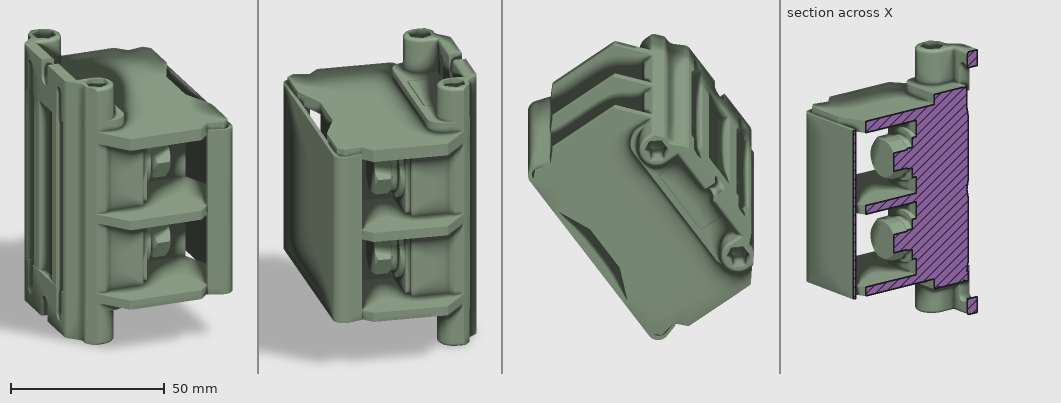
import cadquery as cq
import math


rail_length = 90.0
rail_face_half = 17.3
rail_flank_start = 18.3
rail_flank_rise = 0.4
rail_shelf_y = 4.2
rail_shelf_inner = 22.0
rail_shelf_outer = 24.9
rail_flank_bend = 2.7
rail_edge_blend = 0.9
rail_back_y = 4.4
rail_end_round = 1.1

tower_x = 22.9
tower_y = 9.1
tower_radius = 5.5
tower_outer_x = tower_x + tower_radius
hex_flats = 7.0
hex_depth = 9.0
step_diameter = 5.2
step_depth = 12.6
bore_diameter = 4.2

notch_width = 5.3
notch_depth = 7.8
slot_x = 12.4
slot_width = 4.3
slot_length = 81.9

plate_half_width = 38.0
plate_side_bottom = 14.85
plate_side_top = 39.8
plate_neck_half = 34.3
plate_neck_y = 43.2
plate_ear_half = 35.4
plate_ear_y = 48.7
plate_ear_bevel = 2.2
plate_edge_round = 0.9
plate_top_y = 50.85
dip_half_top = 19.4
dip_half_bottom = 8.3
dip_y = 46.1
plate_thickness = 3.15
top_plate_thickness = 4.05
pitch = 27.9
cells = 2
block_height = cells * pitch + top_plate_thickness
block_bottom = -block_height / 2
block_top = block_height / 2
cell_height = pitch - plate_thickness

pad_thickness = 3.4
pad_top_y = 18.2
pad_round = 5.6
label_width = 23.9
label_height = 11.0
label_y = 10.8
label_depth = 0.4
label_border = 0.4
label_round = 1.2

body_foot_half = 28.1
body_foot_y = 10.0
body_half = 26.7
body_step_y = 12.0
body_edge_round = 1.0
body_top_y = 24.2
wall_top_y = dip_y
gap_size = 1.0
gap_height = 0.45

bar_half = 24.8
bar_edge_round = 1.2
bar_top_y = 25.8
bolt_x = 15.8
bolt_flats = 12.7
washer_diameter = 17.6
washer_top_y = 27.45
spring_diameter = 13.1
spring_top_y = 29.6
spring_gap = 0.4
spring_gap_length = 8.1
head_top_y = 35.3
head_bevel_drop = 0.8

cover_top_y = 52.2
cover_thickness = 1.35
cover_leg_thickness = 0.9
cover_inner_round = 2.6
cover_corner_half = 38.2
cover_lean = 0.32
cover_round = 3.6
cover_tip_y = 43.0
cover_top_z = 27.7

window_half = 15.8
window_bevel = 0.4
window_lip_y = 2.25
window_inner_half = 17.1
window_end_relief = 2.25
window_depth = 3.9
groove_depth = 0.5
groove_rise = 2.8
window_deep_y = window_depth + groove_depth
insert_half = 10.2
insert_bevel = 0.6
insert_face_y = 0.2
insert_web_half = 6.75
channel_half_top = 5.4
channel_half_bottom = 4.3
channel_y = 3.6
channel_round = 0.9

SIDES = (-1, 1)
tolerance = 0.1
hexagon_sides = 6
cell_floors = [block_bottom + plate_thickness + i * pitch for i in range(cells)]
cell_centres = [floor + cell_height / 2 for floor in cell_floors]


def mirrored(half):
    """Close an outline given by its +X half, listed from the bottom up."""
    return half + [(-x, y) for x, y in reversed(half)]


def prism(outline, z_low, z_high):
    """Extrude an XY outline between two heights."""
    return cq.Workplane("XY", origin=(0, 0, z_low)).polyline(outline).close().extrude(z_high - z_low)


def block(x_low, x_high, y_low, y_high, z_low, z_high):
    size = (x_high - x_low, y_high - y_low, z_high - z_low)
    return cq.Workplane("XY", origin=(x_low, y_low, z_low)).box(*size, centered=False)


def disc(x, y_low, y_high, z, diameter):
    """Cylinder along +Y."""
    plane = cq.Workplane("XZ", origin=(x, y_low, z))
    return plane.circle(diameter / 2).extrude(y_low - y_high)


def hexagon_corners(flats):
    """Corner-to-corner size of a hexagon given its size across flats."""
    return flats / math.cos(math.pi / hexagon_sides)


def round_side_edges(solid, x, y, radius):
    """Fillet the upright edges at (+x, y) and (-x, y)."""
    for side in SIDES:
        corner = cq.selectors.BoxSelector(
            (side * x - tolerance, y - tolerance, -rail_length),
            (side * x + tolerance, y + tolerance, rail_length))
        solid = solid.edges("|Z").edges(corner).fillet(radius)
    return solid


def outer_slope_y(x):
    """Y of the sloped outer flank that the rail and the plates share."""
    slope = (plate_side_bottom - rail_shelf_y) / (plate_half_width - rail_shelf_outer)
    return rail_shelf_y + slope * (x - rail_shelf_outer)


rail_face_points = [
    (rail_face_half, 0),
    (rail_flank_start, rail_flank_rise),
    (rail_shelf_inner, rail_shelf_y),
    (rail_shelf_outer, rail_shelf_y),
]


def make_rail():
    """Rail section with both towers, rounded along its back end edges."""
    half = rail_face_points + [
        (tower_outer_x, outer_slope_y(tower_outer_x)),
        (tower_outer_x, tower_y),
        (tower_x - tower_radius, tower_y),
        (tower_x - tower_radius, rail_back_y),
    ]
    half_length = rail_length / 2
    rail = prism(mirrored(half), -half_length, half_length)
    for side in SIDES:
        centre_x = side * tower_x
        tower = cq.Workplane("XY", origin=(centre_x, tower_y, -half_length))
        tower = tower.circle(tower_radius).extrude(rail_length)
        rear = block(centre_x - tower_radius, centre_x + tower_radius, tower_y, tower_y + tower_radius,
                     -half_length, half_length)
        rail = rail.union(tower.intersect(rear))

    rail = round_side_edges(rail, rail_shelf_inner, rail_shelf_y, rail_flank_bend)
    rail = round_side_edges(rail, rail_shelf_outer, rail_shelf_y, rail_edge_blend)

    def is_back_edge(edge):
        centre = edge.Center()
        on_flank = rail_shelf_outer < abs(centre.x) < tower_outer_x - tolerance and centre.y < tower_y
        return centre.y > rail_back_y - tolerance and not on_flank

    for end in ("<Z", ">Z"):
        back_edges = [e for e in rail.faces(end).edges().vals() if is_back_edge(e)]
        rail = rail.newObject(back_edges).fillet(rail_end_round)
    cell_space = block(-plate_half_width, plate_half_width, rail_back_y, pad_top_y, block_bottom, block_top)
    return rail.cut(cell_space)


def make_plate(z_low, z_high):
    half = rail_face_points + [
        (plate_half_width, plate_side_bottom),
        (plate_half_width, plate_side_top),
        (plate_neck_half, plate_neck_y),
        (plate_ear_half, plate_ear_y),
        (plate_ear_half - plate_ear_bevel, plate_top_y),
        (dip_half_top, plate_top_y),
        (dip_half_bottom, dip_y),
    ]
    plate = prism(mirrored(half), z_low, z_high)
    plate = round_side_edges(plate, plate_half_width, plate_side_bottom, plate_edge_round)
    return plate.cut(block(-plate_half_width, plate_half_width, 0, rail_shelf_y, z_low, z_high))


def make_pad(side):
    """End pad with a shallow label recess; side is +1 for the upper pad."""
    z_inner = side * block_height / 2
    z_outer = z_inner + side * pad_thickness
    half = [
        (rail_shelf_outer, rail_shelf_y),
        (tower_outer_x, outer_slope_y(tower_outer_x)),
        (tower_outer_x, pad_top_y),
    ]
    pad = prism(mirrored(half), min(z_inner, z_outer), max(z_inner, z_outer))
    pad = pad.edges("|Z").edges(">Y").fillet(pad_round)
    label = cq.Workplane("XY", origin=(0, label_y, z_outer)).rect(label_width, label_height)
    label = label.extrude(-side * label_depth).edges("|Z").fillet(label_round)
    inner = cq.Workplane("XY", origin=(0, label_y, z_outer))
    inner = inner.rect(label_width - 2 * label_border, label_height - 2 * label_border)
    inner = inner.extrude(-side * label_depth).edges("|Z").fillet(label_round - label_border)
    return pad.cut(label.cut(inner))


def make_body():
    """Stepped base under the cells and the central wall between the two terminal sides."""
    half = [
        (rail_shelf_outer, rail_shelf_y),
        (body_foot_half, outer_slope_y(body_foot_half)),
        (body_foot_half, body_foot_y),
        (body_half, body_step_y),
        (body_half, body_top_y),
    ]
    body = prism(mirrored(half), block_bottom, block_top).edges("|Z").edges(">Y").fillet(body_edge_round)
    wall = block(-dip_half_bottom, dip_half_bottom, body_top_y, wall_top_y, block_bottom, block_top)
    return body.union(wall)


def make_bolt(x, z):
    """Flat washer, spring washer lifted at its outer side, and bevelled hexagon head."""
    washer = disc(x, bar_top_y, washer_top_y, z, washer_diameter)
    spring = disc(x, washer_top_y, spring_top_y, z, spring_diameter)
    x_range = sorted((x, x + math.copysign(spring_diameter, x)))
    gap = block(*x_range, washer_top_y, washer_top_y + spring_gap,
                z - spring_gap_length / 2, z + spring_gap_length / 2)
    corners = hexagon_corners(bolt_flats)
    head = cq.Workplane("XZ", origin=(x, spring_top_y, z)).polygon(hexagon_sides, corners)
    head = head.extrude(spring_top_y - head_top_y)
    bevel = (corners - bolt_flats) / 2
    turned = disc(x, spring_top_y, head_top_y, z, corners).faces("<Y or >Y").chamfer(head_bevel_drop, bevel)
    return washer.union(spring.cut(gap)).union(head.intersect(turned))


def make_terminals():
    parts = cq.Workplane("XY")
    for floor, centre in zip(cell_floors, cell_centres):
        bar = block(-bar_half, bar_half, body_top_y, bar_top_y, floor, floor + cell_height)
        parts = parts.union(bar.edges("|Y").fillet(bar_edge_round))
        for side in SIDES:
            parts = parts.union(make_bolt(side * bolt_x, centre))
    return parts


def make_cover():
    """Bent strip with inward-leaning legs that snap behind the plate ears."""
    base_half = cover_corner_half - cover_lean * cover_top_y

    def trapezoid(top_y, inset, radius):
        half = [(base_half - inset, 0), (base_half - inset + cover_lean * top_y, top_y)]
        return prism(mirrored(half), block_bottom, cover_top_z).edges("|Z").edges(">Y").fillet(radius)

    outside = trapezoid(cover_top_y, 0, cover_round)
    inside = trapezoid(cover_top_y - cover_thickness, cover_leg_thickness, cover_inner_round)
    keep = block(-plate_half_width, plate_half_width, cover_tip_y, cover_top_y, block_bottom, cover_top_z)
    return outside.cut(inside).intersect(keep)


def make_rail_openings():
    """End notches, long mounting slots and the stepped screw holes."""
    cuts = cq.Workplane("XY")
    notch_end = rail_length / 2 - notch_depth + notch_width / 2
    for end in SIDES:
        rounded = disc(0, 0, rail_back_y, end * notch_end, notch_width)
        z_range = sorted((end * notch_end, end * rail_length / 2))
        cuts = cuts.union(rounded).union(block(-notch_width / 2, notch_width / 2, 0, rail_back_y, *z_range))
        for side in SIDES:
            top = cq.Workplane("XY", origin=(side * tower_x, tower_y, end * rail_length / 2))
            cuts = cuts.union(top.polygon(hexagon_sides, hexagon_corners(hex_flats)).extrude(-end * hex_depth))
            cuts = cuts.union(top.circle(step_diameter / 2).extrude(-end * step_depth))
    keep = block(-window_half, window_half, window_depth, window_deep_y,
                 block_bottom - pad_thickness, cell_floors[-1] + cell_height)
    for side in SIDES:
        bore = cq.Workplane("XY", origin=(side * tower_x, tower_y, -rail_length / 2))
        cuts = cuts.union(bore.circle(bore_diameter / 2).extrude(rail_length))
        slot = cq.Workplane("XZ", origin=(side * slot_x, 0, 0)).slot2D(slot_length, slot_width, 90)
        cuts = cuts.union(slot.extrude(-window_deep_y).cut(keep))
    return cuts


def make_window():
    """Window recess whose floor has V grooves at the plates, around a channelled insert."""
    floor_line = [(0, block_top), (0, block_bottom), (window_deep_y, block_bottom)]
    for floor in cell_floors:
        ceiling = floor + cell_height
        floor_line += [
            (window_depth, floor),
            (window_depth, ceiling - groove_rise),
            (window_deep_y, ceiling),
        ]
    floor_line.append((window_deep_y, block_top))
    stepped_floor = cq.Workplane("YZ", origin=(-window_inner_half, 0, 0)).polyline(floor_line).close()
    stepped_floor = stepped_floor.extrude(2 * window_inner_half)
    lip_half = window_half - window_bevel
    half = [
        (window_half, 0),
        (lip_half, window_bevel),
        (lip_half, window_lip_y),
        (window_inner_half, window_lip_y),
        (window_inner_half, window_deep_y),
    ]
    recess = prism(mirrored(half), block_bottom, block_top).intersect(stepped_floor)
    recess = recess.union(block(-channel_half_top, channel_half_top, window_lip_y, window_depth,
                                block_bottom - window_end_relief, block_top + window_end_relief))

    half = [
        (insert_half - insert_bevel, insert_face_y),
        (insert_half, insert_face_y + insert_bevel),
        (insert_half, window_lip_y),
        (insert_web_half, window_lip_y),
        (insert_web_half, window_deep_y),
    ]
    insert = prism(mirrored(half), block_bottom, block_top)
    channel_half = [(channel_half_top, 0), (channel_half_bottom, channel_y)]
    channel = prism(mirrored(channel_half), block_bottom, block_top)
    channel = channel.edges("|Z").edges(">Y").fillet(channel_round)
    insert = insert.cut(channel)
    lips = [e for e in insert.edges("|Z").vals()
            if abs(e.Center().x) < channel_half_top + tolerance and e.Center().y < insert_face_y + tolerance]
    insert = insert.newObject(lips).fillet(channel_round)
    return recess, channel, insert


part = make_rail().union(make_body())
part = part.union(make_plate(block_top - top_plate_thickness, block_top))
for floor in cell_floors:
    part = part.union(make_plate(floor - plate_thickness, floor))
for side in SIDES:
    part = part.union(make_pad(side))
part = part.union(make_terminals()).union(make_cover())

recess, channel, insert = make_window()
part = part.cut(recess).cut(channel).union(insert).cut(make_rail_openings())

for floor in cell_floors:
    ceiling = floor + cell_height
    part = part.cut(block(-dip_half_bottom, dip_half_bottom, bar_top_y, bar_top_y + gap_height,
                          ceiling - gap_size, ceiling))

result = part